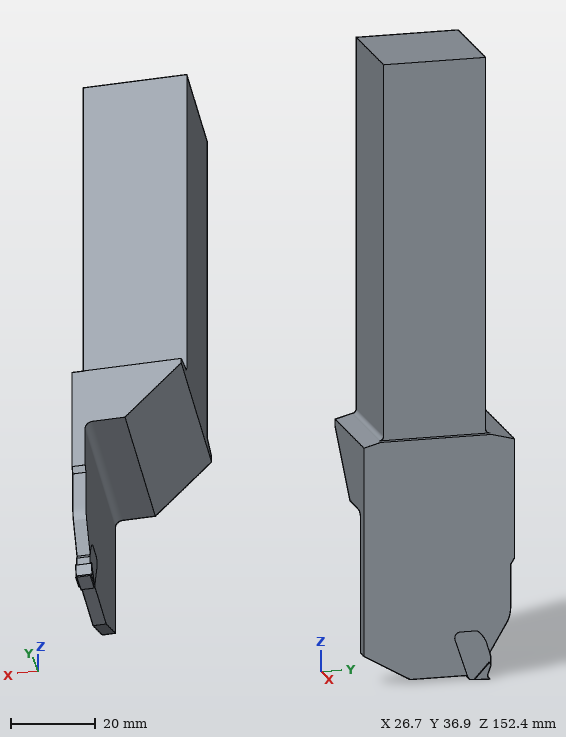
import cadquery as cq
import math

shank_size = 25.0
shank_y = 5.2
total_height = 152.4

head_depth = 36.9
head_width = 26.4
head_top = 60.0
shoulder_angle = math.radians(15)
shoulder_fillet = 1.0
step_top = 57.2
step_bottom = 42.5
step_x = 13.5
blade_thickness = 3.2
blade_root_fillet = 1.8
blade_bottom = 1.2
blade_x = head_width - blade_thickness

back_step_top = 29.3
back_step_bottom = 27.7
blade_back_y = 36.0
back_curve_top = 17.7
back_curve_middle = (35.8, 15.7)
back_curve_end = (35.2, 13.9)
back_slope_end_y = 27.7
nose_chamfer_y = 11.3
nose_chamfer_angle = math.radians(30)

cutting_tip = (30.8, 0)
rake_foot = (30.2, 0.9)
flank_low = (31.1, 3.5)
flank_high = (31.1, 5.6)
seat_back_start = (30.3, 8.0)
seat_back_middle = (29.4, 10.2)
seat_top = 12.0
seat_top_back_y = 27.7
seat_top_front_y = 23.5
seat_corner_middle = (22.4, 11.3)
seat_corner_end = (22.4, 9.9)
seat_front_low = (25.3, blade_bottom)
heel = (25.9, 0.2)
cutting_end_heel = (27.0, 0.2)
cutting_end_top = (30.6, 4.1)
edge_overhang = 0.3


def extrude_along_x(outline, start, length):
    """Extrude a wire drawn in (Y, Z) from X = start."""
    return outline.close().extrude(length).translate((start, 0, 0))


def make_shank():
    """Square bar whose foot flares into the head through two quarter-round fillets."""
    shank_back = shank_y + shank_size
    fillet_top = head_top + shoulder_fillet
    middle = shoulder_fillet * (1 - math.sqrt(0.5))
    outline = (
        cq.Workplane("YZ")
        .moveTo(shank_y - shoulder_fillet, head_top)
        .threePointArc((shank_y - middle, head_top + middle), (shank_y, fillet_top))
        .lineTo(shank_y, total_height)
        .lineTo(shank_back, total_height)
        .lineTo(shank_back, fillet_top)
        .threePointArc((shank_back + middle, head_top + middle), (shank_back + shoulder_fillet, head_top))
    )
    return extrude_along_x(outline, 0, shank_size)


def make_head():
    """Relieved block and thin blade: side outline crossed with front outline."""
    front_crest = shank_y - shoulder_fillet
    back_crest = shank_y + shank_size + shoulder_fillet
    slope = math.tan(shoulder_angle)
    side = (
        cq.Workplane("YZ")
        .moveTo(front_crest, head_top)
        .lineTo(back_crest, head_top)
        .lineTo(head_depth, head_top - (head_depth - back_crest) * slope)
        .lineTo(head_depth, back_step_top)
        .lineTo(blade_back_y, back_step_bottom)
        .lineTo(blade_back_y, back_curve_top)
        .threePointArc(back_curve_middle, back_curve_end)
        .lineTo(back_slope_end_y, blade_bottom)
        .lineTo(nose_chamfer_y, blade_bottom)
        .lineTo(0, blade_bottom + nose_chamfer_y * math.tan(nose_chamfer_angle))
        .lineTo(0, head_top - front_crest * slope)
    )
    front = (
        cq.Workplane("XZ")
        .polyline([
            (0, head_top),
            (0, step_top),
            (step_x, step_bottom),
            (blade_x, step_bottom),
            (blade_x, 0),
            (head_width, 0),
            (head_width, head_top),
        ])
        .close()
        .extrude(-head_depth)
        .edges(cq.selectors.NearestToPointSelector((blade_x, head_depth / 2, step_bottom)))
        .fillet(blade_root_fillet)
    )
    return extrude_along_x(side, 0, head_width).intersect(front)


def make_insert():
    """Cutting insert through the blade, with a wider cutting end."""
    seat = (
        cq.Workplane("YZ")
        .moveTo(*cutting_tip)
        .lineTo(*heel)
        .lineTo(*seat_front_low)
        .lineTo(*seat_corner_end)
        .threePointArc(seat_corner_middle, (seat_top_front_y, seat_top))
        .lineTo(seat_top_back_y, seat_top)
        .threePointArc(seat_back_middle, seat_back_start)
        .lineTo(*flank_high)
        .lineTo(*flank_low)
        .lineTo(*rake_foot)
    )
    cutting_end = (
        cq.Workplane("YZ")
        .moveTo(*cutting_tip)
        .lineTo(*cutting_end_heel)
        .lineTo(*cutting_end_top)
        .lineTo(*flank_low)
        .lineTo(*rake_foot)
    )
    body = extrude_along_x(seat, blade_x, blade_thickness)
    cutter = extrude_along_x(
        cutting_end, blade_x - edge_overhang, blade_thickness + 2 * edge_overhang
    )
    return body.union(cutter)


insert = make_insert()
holder = make_shank().union(make_head()).cut(insert)

result = cq.Compound.makeCompound([holder.val(), insert.val()])